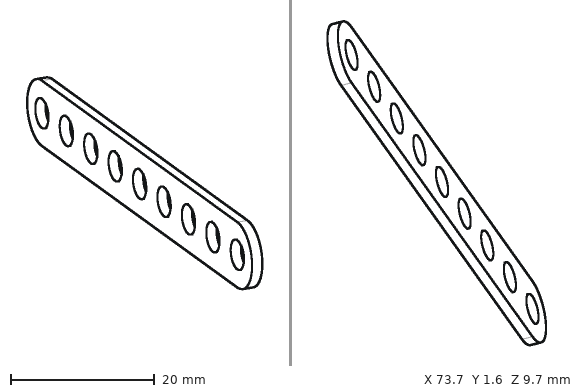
import cadquery as cq

hole_count = 9
hole_pitch = 8.0
hole_diameter = 4.3
strip_width = 9.7
strip_thickness = 1.6

hole_span = (hole_count - 1) * hole_pitch
strip_length = hole_span + strip_width


def make_strip():
    """Strip with full-round ends, its thickness centred on Y = 0."""
    outline = cq.Workplane("XZ").slot2D(strip_length, strip_width)
    return outline.extrude(strip_thickness / 2, both=True)


def drill_holes(strip):
    """Drill a row of evenly spaced holes along X, right through the thickness."""
    centres = strip.faces("<Y").workplane(origin=(0, 0, 0)).rarray(hole_pitch, strip_width, hole_count, 1)
    return centres.hole(hole_diameter)


result = drill_holes(make_strip())